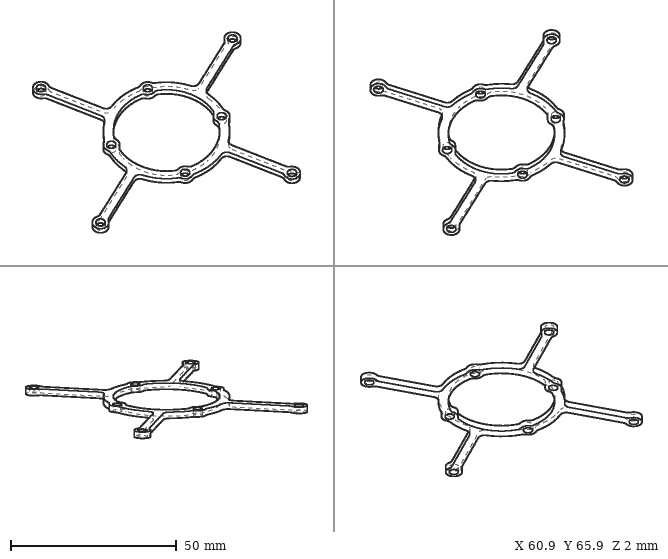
import cadquery as cq
import math

length_x = 60.9
length_y = 65.9
thickness = 2.0

ring_outer_radius = 19.05
ring_inner_radius = 16.0
ring_hole_circle_radius = 17.5

boss_radius = 2.5
hole_diameter = 2.8

arm_width = 2.95
arm_angle = 44.2

corner_fillet = 2.0

tip_x = length_x / 2 - boss_radius
tip_y = length_y / 2 - boss_radius
tip_points = [(sx * tip_x, sy * tip_y) for sx in (-1, 1) for sy in (-1, 1)]
ring_points = [
    (ring_hole_circle_radius, 0),
    (0, ring_hole_circle_radius),
    (-ring_hole_circle_radius, 0),
    (0, -ring_hole_circle_radius),
]

ring_mid_radius = (ring_outer_radius + ring_inner_radius) / 2
direction_x = math.cos(math.radians(arm_angle))
direction_y = math.sin(math.radians(arm_angle))
tip_along_arm = tip_x * direction_x + tip_y * direction_y
arm_offset = tip_y * direction_x - tip_x * direction_y
arm_length = tip_along_arm - math.sqrt(ring_mid_radius**2 - arm_offset**2)


def discs(points, radius):
    """Flat round discs centred on the given points."""
    return cq.Workplane("XY").pushPoints(points).circle(radius).extrude(thickness)


def arm(tip):
    """Straight bar from a tip boss inward to the ring."""
    side_x = math.copysign(1, tip[0])
    side_y = math.copysign(1, tip[1])
    center_x = tip[0] - side_x * direction_x * arm_length / 2
    center_y = tip[1] - side_y * direction_y * arm_length / 2
    return (
        cq.Workplane("XY")
        .box(arm_length, arm_width, thickness, centered=(True, True, False))
        .rotate((0, 0, 0), (0, 0, 1), side_x * side_y * arm_angle)
        .translate((center_x, center_y, 0))
    )


def is_corner(edge):
    """True for a real corner, false for a boss seam level with its centre."""
    height = abs(edge.Center().y)
    return height > seam_tolerance and abs(height - tip_y) > seam_tolerance


ring = cq.Workplane("XY").circle(ring_outer_radius).extrude(thickness)
for tip in tip_points:
    ring = ring.union(arm(tip))
ring = ring.cut(cq.Workplane("XY").circle(ring_inner_radius).extrude(thickness))
plate = ring.union(discs(ring_points + tip_points, boss_radius))

seam_tolerance = 0.05
plate = plate.edges("|Z").filter(is_corner).fillet(corner_fillet)

result = plate.cut(discs(ring_points + tip_points, hole_diameter / 2))